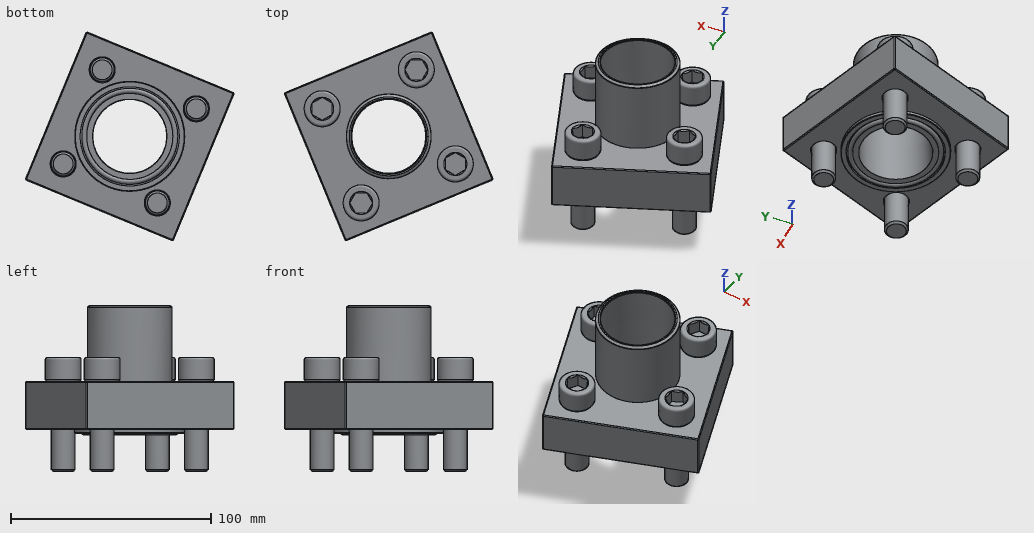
import cadquery as cq
import math

flange_side = 80.0
flange_thickness = 24.0
flange_angle = 22.5
flange_chamfer = 0.5

neck_diameter = 42.4
neck_length = 38.0
neck_bevel_width = 1.5
neck_bevel_height = 0.8
neck_break_width = 0.1
neck_break_height = 0.3

neck_bore_diameter = 37.2
neck_bore_depth = 19.0
neck_mouth_chamfer = 0.4
taper_length = 24.0
port_diameter = 37.0

spigot_diameter = 55.0
spigot_height = 2.0
spigot_chamfer = 0.3
groove_outer_diameter = 49.6
groove_inner_diameter = 43.0
ring_protrusion = 0.8
ring_section_diameter = 2.5
ring_centre_radius = (groove_inner_diameter + ring_section_diameter) / 2
groove_depth = ring_section_diameter - ring_protrusion

screw_count = 4
bolt_circle_diameter = 72.0
clearance_diameter = 13.0
shank_diameter = 12.0
shank_length = 45.0
shank_tip_chamfer = 1.0
head_diameter = 18.0
head_height = 12.0
head_top_fillet = 1.2
head_bottom_chamfer_height = 0.9
head_bottom_chamfer_width = 0.5
socket_sides = 6
socket_across_flats = 10.0
socket_depth = 7.5
socket_corner_diameter = socket_across_flats / math.cos(math.pi / socket_sides)
socket_countersink_angle = 45

neck_top = flange_thickness + neck_length


def screw_angle(index):
    """Polar angle of a screw; the screws sit towards the corners of the flange."""
    return flange_angle + 45 + index * 360 / screw_count


def screw_position(index):
    radius = bolt_circle_diameter / 2
    angle = math.radians(screw_angle(index))
    return (radius * math.cos(angle), radius * math.sin(angle))


def make_bore():
    """Revolved cutter: straight neck bore, taper, straight port."""
    taper_top = neck_top - neck_bore_depth
    return (
        cq.Workplane("XZ")
        .moveTo(0, -spigot_height)
        .lineTo(port_diameter / 2, -spigot_height)
        .lineTo(port_diameter / 2, taper_top - taper_length)
        .lineTo(neck_bore_diameter / 2, taper_top)
        .lineTo(neck_bore_diameter / 2, neck_top - neck_mouth_chamfer)
        .lineTo(neck_bore_diameter / 2 + neck_mouth_chamfer, neck_top)
        .lineTo(0, neck_top)
        .close()
        .revolve(360, (0, 0, 0), (0, 1, 0))
    )


def make_neck():
    """Cylinder with a welding bevel at its end and a small break below the bevel."""
    neck_radius = neck_diameter / 2
    return (
        cq.Workplane("XZ")
        .lineTo(neck_radius, 0)
        .lineTo(neck_radius, neck_top - neck_bevel_height - neck_break_height)
        .lineTo(neck_radius - neck_break_width, neck_top - neck_bevel_height)
        .lineTo(neck_radius - neck_bevel_width, neck_top)
        .lineTo(0, neck_top)
        .close()
        .revolve(360, (0, 0, 0), (0, 1, 0))
    )


def make_flange():
    block = (
        cq.Workplane("XY")
        .rect(flange_side, flange_side)
        .extrude(flange_thickness)
        .edges()
        .chamfer(flange_chamfer)
        .rotate((0, 0, 0), (0, 0, 1), flange_angle)
    )
    spigot = (
        cq.Workplane("XY")
        .circle(spigot_diameter / 2)
        .extrude(-spigot_height)
        .faces("<Z")
        .chamfer(spigot_chamfer)
    )
    groove = (
        cq.Workplane("XY", origin=(0, 0, -spigot_height))
        .circle(groove_outer_diameter / 2)
        .circle(groove_inner_diameter / 2)
        .extrude(groove_depth)
    )
    screw_holes = (
        cq.Workplane("XY")
        .pushPoints([screw_position(index) for index in range(screw_count)])
        .circle(clearance_diameter / 2)
        .extrude(flange_thickness)
    )
    return block.union(make_neck()).union(spigot).cut(make_bore()).cut(groove).cut(screw_holes)


def make_sealing_ring():
    centre_height = groove_depth - spigot_height - ring_section_diameter / 2
    return (
        cq.Workplane("XZ")
        .center(ring_centre_radius, centre_height)
        .circle(ring_section_diameter / 2)
        .revolve(360, (-ring_centre_radius, 0, 0), (-ring_centre_radius, 1, 0))
    )


def make_socket():
    """Hexagonal recess with a conical lead-in, its mouth at z = head_height."""
    hexagon = (
        cq.Workplane("XY", origin=(0, 0, head_height))
        .polygon(socket_sides, socket_corner_diameter)
        .extrude(-socket_depth)
    )
    mouth_radius = socket_corner_diameter / 2
    cone_depth = mouth_radius * math.tan(math.radians(socket_countersink_angle))
    countersink = cq.Workplane(
        cq.Solid.makeCone(0, mouth_radius, cone_depth, cq.Vector(0, 0, head_height - cone_depth))
    )
    return hexagon.union(countersink)


def make_screw(index):
    """Socket head screw seated on the flange, turned with its place on the bolt circle."""
    head = (
        cq.Workplane("XY")
        .circle(head_diameter / 2)
        .extrude(head_height)
        .faces(">Z")
        .edges()
        .fillet(head_top_fillet)
        .faces("<Z")
        .edges()
        .chamfer(head_bottom_chamfer_height, head_bottom_chamfer_width)
    )
    shank = (
        cq.Workplane("XY")
        .circle(shank_diameter / 2)
        .extrude(-shank_length)
        .faces("<Z")
        .chamfer(shank_tip_chamfer)
    )
    x, y = screw_position(index)
    return (
        head.union(shank)
        .cut(make_socket())
        .rotate((0, 0, 0), (0, 0, 1), index * 360 / screw_count)
        .translate((x, y, flange_thickness))
    )


flange = make_flange()
sealing_ring = make_sealing_ring()
screws = [make_screw(index) for index in range(screw_count)]

result = cq.Compound.makeCompound(
    [flange.val(), sealing_ring.val(), *[screw.val() for screw in screws]]
)